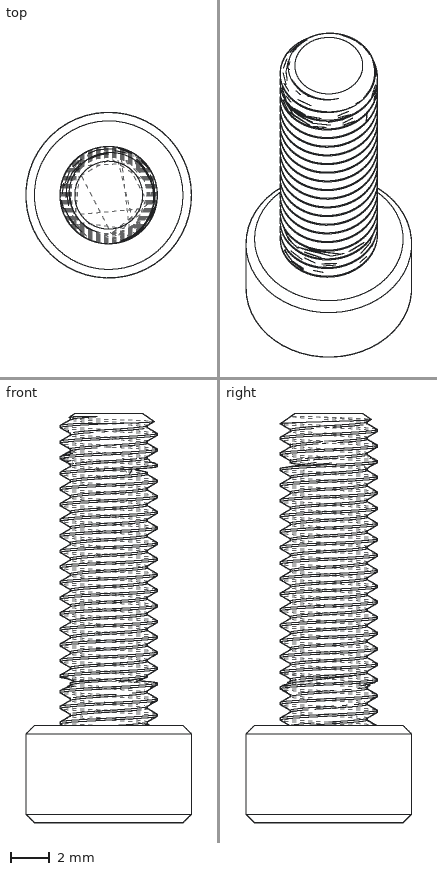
import cadquery as cq
import math

total_length = 21.0
head_height = 5.0
head_diameter = 8.5
head_chamfer = 0.45
shank_length = total_length - head_height
shank_radius = 2.5

tip_flat_radius = 1.75
tip_height = 0.52

turns_on_shank = 20
pitch = shank_length / turns_on_shank
crest_flat = pitch / 8
flank_slope = math.tan(math.radians(30))
sharp_v_height = pitch / 2 / flank_slope
root_radius = shank_radius - 0.75 * sharp_v_height
first_crest_height = 0.52
ridge_embed = 0.06
spare_turns = 2
envelope_clearance = 0.42


def make_head():
    head = cq.Workplane("XY").circle(head_diameter / 2).extrude(head_height)
    return head.edges("%CIRCLE").chamfer(head_chamfer)


def make_shank_envelope():
    """Space from the head to the tip cone that the core and the ridge are trimmed to."""
    envelope_radius = shank_radius + envelope_clearance
    cone_slope = tip_height / (shank_radius - tip_flat_radius)
    cone_start = total_length - cone_slope * (envelope_radius - tip_flat_radius)
    half_outline = (
        cq.Workplane("XZ")
        .moveTo(0, head_height)
        .lineTo(envelope_radius, head_height)
        .lineTo(envelope_radius, cone_start)
        .lineTo(tip_flat_radius, total_length)
        .lineTo(0, total_length)
        .close()
    )
    return half_outline.revolve(360, (0, 0, 0), (0, 1, 0))


def make_core():
    return cq.Workplane("XY").workplane(offset=head_height).circle(root_radius).extrude(shank_length)


def make_thread_ridge():
    """Helical ridge whose profile starts on the +X side."""
    base_radius = root_radius - ridge_embed
    half_crest = crest_flat / 2
    half_base = half_crest + (shank_radius - base_radius) * flank_slope
    profile = cq.Workplane("XZ").polyline([
        (base_radius, -half_base),
        (shank_radius, -half_crest),
        (shank_radius, half_crest),
        (base_radius, half_base),
    ]).close()
    helix_height = (turns_on_shank + 2 * spare_turns) * pitch
    helix = cq.Wire.makeHelix(pitch, helix_height, root_radius)
    ridge = profile.sweep(cq.Workplane(obj=helix), isFrenet=True)
    return ridge.translate((0, 0, head_height + first_crest_height - spare_turns * pitch))


envelope = make_shank_envelope()
core = make_core().intersect(envelope)
ridge = make_thread_ridge().intersect(envelope)
result = make_head().union(core.union(ridge))